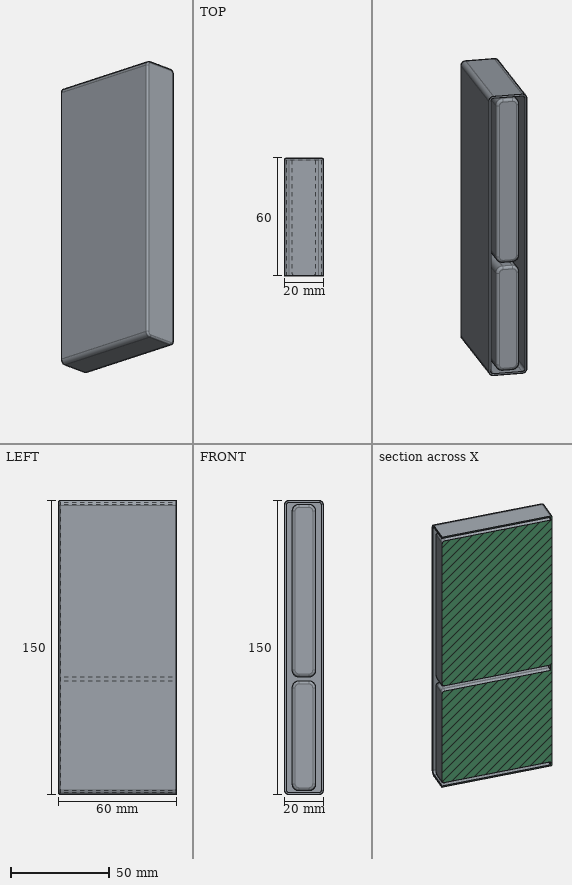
import cadquery as cq

width = 20.0
depth = 60.0
height = 150.0
wall = 1.0
corner_radius = 2.5
back_edge_radius = 1.0

block_width = 12.0
block_corner_radius = 3.5
block_edge_radius = 1.5
end_gap = 1.0
block_gap = 2.0
upper_block_height = 88.0

front_y = -depth / 2
back_y = depth / 2
floor_y = back_y - wall

block_space = height - 2 * (wall + end_gap)
lower_block_height = block_space - block_gap - upper_block_height
upper_block_z = (block_space - upper_block_height) / 2
lower_block_z = (lower_block_height - block_space) / 2


def rounded_bar(size_x, size_z, radius, start_y, end_y, center_z=0.0):
    """Rounded rectangle in XZ, extruded along Y from start_y to end_y."""
    return (
        cq.Workplane("XZ", origin=(0, end_y, center_z))
        .rect(size_x, size_z)
        .extrude(end_y - start_y)
        .edges("|Y")
        .fillet(radius)
    )


def make_case():
    """Outer body with rounded back edges, hollowed from the front."""
    body = rounded_bar(width, height, corner_radius, front_y, back_y)
    body = body.faces(">Y").edges().fillet(back_edge_radius)
    cavity = rounded_bar(width - 2 * wall, height - 2 * wall, corner_radius - wall, front_y, floor_y)
    return body.cut(cavity)


def make_block(block_height, center_z):
    """Block from the back wall to flush with the open rim, rounded at its front edges."""
    block = rounded_bar(block_width, block_height, block_corner_radius, front_y, floor_y, center_z)
    return block.faces("<Y").edges().fillet(block_edge_radius)


result = make_case()
for block_height, center_z in (
    (upper_block_height, upper_block_z),
    (lower_block_height, lower_block_z),
):
    result = result.union(make_block(block_height, center_z))